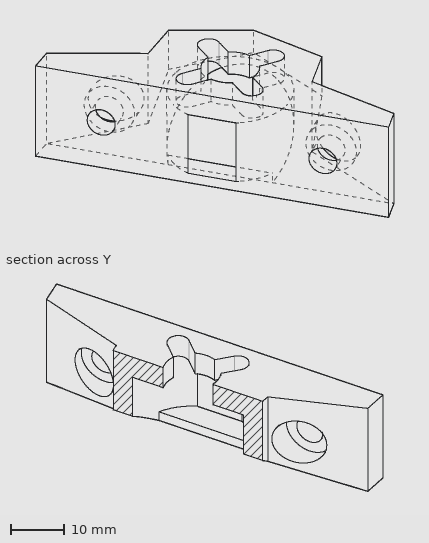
import cadquery as cq

length = 70.0
depth = 25.0
height = 20.0
plate = 5.0

wing_tip_x = 34.45
shoulder_x = 16.25
shoulder_y = 10.9
back_corner_x = 15.2
back_corner_y = depth - plate

cross_y = 11.0
cross_diameter = 11.05
arm_width = 4.3
arm_reach = 9.0
cavity_radius = 12.0
cavity_top = height - plate

sill_length = 21.0
sill_height = 2.1

hole_x = 22.0
hole_diameter = 5.5
counterbore_diameter = 10.0
hole_z = height / 2


def make_body():
    """Extruded plan outline with the underside sloping up to the back tip."""
    right_side = [
        (length / 2, 0),
        (wing_tip_x, plate),
        (shoulder_x, shoulder_y),
        (back_corner_x, back_corner_y),
    ]
    left_side = [(-x, y) for x, y in reversed(right_side)]
    outline = right_side + [(0, depth)] + left_side
    plan = cq.Workplane("XY").polyline(outline).close().extrude(height)

    profile = [(0, 0), (plate, 0), (depth, height - plate), (depth, height), (0, height)]
    wedge = cq.Workplane("YZ").polyline(profile).close().extrude(length / 2, both=True)
    return plan.intersect(wedge)


def make_cavity():
    """Vertical round pocket, open below and breaking out through the front."""
    return cq.Workplane("XY").center(0, cross_y).circle(cavity_radius).extrude(cavity_top)


def make_sill():
    return cq.Workplane("XY").box(sill_length, plate, sill_height, centered=(True, False, False))


def make_cross():
    """Round opening with four diagonal round-ended arms."""
    centre = cq.Workplane("XY").center(0, cross_y)
    cross = centre.circle(cross_diameter / 2).extrude(height)
    for angle in (45, 135):
        arms = centre.slot2D(2 * arm_reach + arm_width, arm_width, angle).extrude(height)
        cross = cross.union(arms)
    roof = cq.Workplane("XY").box(length, depth, height, centered=(True, False, False))
    return cross.intersect(roof.translate((0, 0, cavity_top)))


def make_mounting_hole(x):
    """Through hole with a counterbore opening toward the back."""
    axis = cq.Workplane("XZ").center(x, hole_z)
    hole = axis.circle(hole_diameter / 2).extrude(-depth)
    counterbore = axis.workplane(offset=-plate).circle(counterbore_diameter / 2).extrude(-depth)
    return hole.union(counterbore)


result = make_body().cut(make_cavity()).union(make_sill()).cut(make_cross())
for side in (-1, 1):
    result = result.cut(make_mounting_hole(side * hole_x))